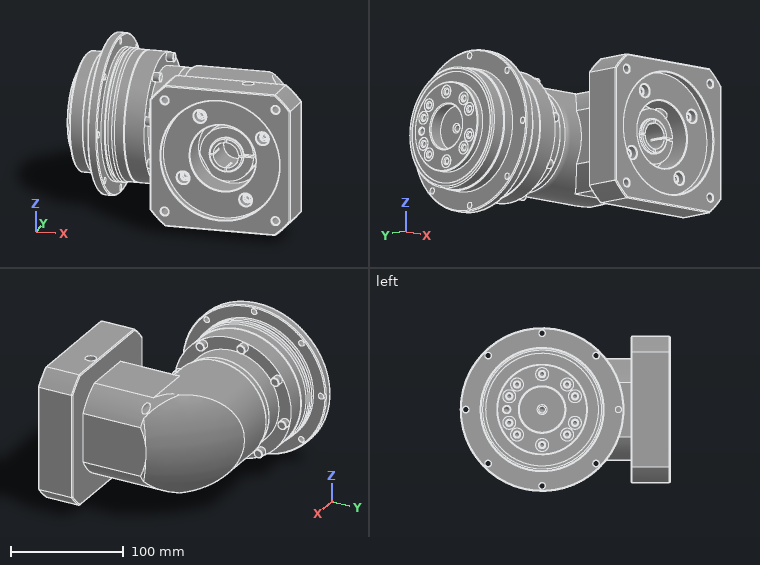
import cadquery as cq
import math


overall_length = 229.0
overall_depth = 186.0
flange_diameter = 145.0
plate_width = 130.0

output_face = plate_width / 2 - overall_length
ring_face = output_face + 6.0
ring_step = output_face + 18.5
flange_front = output_face + 28.9
flange_back = output_face + 37.5
groove_start = output_face + 40.8
groove_end = output_face + 44.0
second_land_end = output_face + 47.5
land_taper_end = output_face + 49.7
housing_seam = output_face + 58.6
housing_back = output_face + 77.2
neck_step = output_face + 95.3
neck_end = output_face + 101.5
elbow_full = output_face + 106.0

output_radius = 40.0
ring_front_radius = 54.0
ring_radius = 55.0
flange_radius = flange_diameter / 2
land_radius = 60.0
groove_radius = 57.3
housing_radius = 59.0
neck_radius = 46.7
neck_end_radius = 46.5
elbow_diameter = 97.8
elbow_radius = elbow_diameter / 2
ring_chamfer = 1.4
flange_chamfer = 1.0
output_chamfer = 0.7
seal_radius = 50.0
seal_depth = 0.5
seam_groove = 0.5
step_chamfer = 0.7

pilot_radius = 20.2
pilot_depth = 12.5
pilot_chamfer = 1.0
centre_hole_radius = 3.0
centre_hole_chamfer = 1.4
centre_hole_depth = 9.2
output_hole_circle = 31.5
output_hole_angles = (0, 45, 68, 112, 135, 180, 225, 248, 292, 315)
tap_radius = 2.3
tap_depth = 10.3
tap_chamfer = 1.0
spotface_radius = 5.7
spotface_depth = 0.2
pin_hole_radius = 3.0
pin_hole_depth = 9.2
pin_hole_chamfer = 0.7

flange_hole_count = 8
flange_hole_circle = 67.5
flange_hole_radius = 2.7
head_count = 8
head_circle = 54.5
head_radius = 4.1
head_height = 6.6
head_first_angle = 12.5
head_chamfer = 0.5

block_width = 90.0
block_turned_radius = 51.0
plate_back = -78.8
nose_crown = 28.5
nose_edge = 21.0
nose_half_chord = 45.1
nose_middle = -2.3
nose_cross_radius = 82.5
nose_reach = 103.0
vent_y = -21.3
vent_z = 38.0
vent_radius = 3.7
vent_floor = 20.6

plate_turned_radius = 82.5
plate_front = flange_radius - overall_depth
plate_chamfer = 1.0
motor_pilot_radius = 55.0
motor_pilot_floor = plate_front + 8.2
motor_hole_offset = 51.3
motor_hole_radius = 3.5
motor_hole_floor = plate_front + 20.6
input_bore_radius = 30.5
mouth_chamfer = 0.7
access_x = 17.6
access_y = -86.0
access_radius = 5.0

screw_count = 4
screw_circle = 42.4
screw_first_angle = 30
counterbore_radius = 5.7
counterbore_floor = -94.0
shank_radius = 2.5
shank_depth = 9.2
screw_end = plate_back + shank_depth
screw_head_radius = 4.1
screw_head_height = 6.6
screw_head_chamfer = 0.7
socket_radius = 2.3
socket_depth = 3.2

shaft_front = -95.8
shaft_back = -59.5
shaft_radius = 15.8
shaft_bore_radius = 11.7
shaft_bore_end = -64.1
shaft_chamfer = 1.1
shaft_slit_width = 1.4
shaft_slit_count = 4
collar_front = -92.8
collar_back = plate_back
collar_radius = 24.7
collar_slit_width = 2.3
collar_flat_distance = 22.5
collar_flat_angle = 210
clamp_hole_x = 18.8
clamp_hole_radius = 3.2


def rod_x(start, end, radius, y=0, z=0):
    """Cylinder along X."""
    return cq.Workplane("YZ", origin=(start, y, z)).circle(radius).extrude(end - start)


def rod_y(start, end, radius, x=0, z=0):
    """Cylinder along Y, from start up to end."""
    return cq.Workplane("XZ", origin=(x, end, z)).circle(radius).extrude(end - start)


def box_y(start, end, width):
    """Square bar along Y, centred on the input axis."""
    return cq.Workplane("XZ", origin=(0, end, 0)).rect(width, width).extrude(end - start)


def bore_y(face, floor, radius, x=0, z=0):
    """Bore along +Y with a chamfered mouth at its face."""
    profile = [
        (0, face),
        (radius + mouth_chamfer, face),
        (radius, face + mouth_chamfer),
        (radius, floor),
        (0, floor),
    ]
    bore = cq.Workplane("XY").polyline(profile).close().revolve(360, (0, 0, 0), (0, 1, 0))
    return bore.translate((x, 0, z))


def drilled_hole_x(face, depth, radius, chamfer, y=0, z=0):
    """Blind hole along X with a chamfered mouth and a 45 degree drill point."""
    profile = [
        (0, 0),
        (0, radius + chamfer),
        (chamfer, radius),
        (depth, radius),
        (depth + radius, 0),
    ]
    hole = cq.Workplane("XY").polyline(profile).close().revolve(360, (0, 0, 0), (1, 0, 0))
    return hole.translate((face, y, z))


def on_circle(radius, degrees):
    angle = math.radians(degrees)
    return radius * math.cos(angle), radius * math.sin(angle)


def turned_housing():
    """Output disc, flange, grooved housing and neck, all turned about the output axis."""
    outline = [
        (output_face, 0),
        (output_face, output_radius - output_chamfer),
        (output_face + output_chamfer, output_radius),
        (ring_face + seal_depth, output_radius),
        (ring_face + seal_depth, seal_radius),
        (ring_face, seal_radius),
        (ring_face, ring_front_radius - ring_chamfer),
        (ring_face + ring_chamfer, ring_front_radius),
        (ring_step, ring_front_radius),
        (ring_step, ring_radius - step_chamfer),
        (ring_step + step_chamfer, ring_radius),
        (flange_front, ring_radius),
        (flange_front, flange_radius - flange_chamfer),
        (flange_front + flange_chamfer, flange_radius),
        (flange_back - flange_chamfer, flange_radius),
        (flange_back, flange_radius - flange_chamfer),
        (flange_back, land_radius),
        (groove_start, land_radius),
        (groove_start, groove_radius),
        (groove_end, groove_radius),
        (groove_end, land_radius),
        (second_land_end, land_radius),
        (land_taper_end, housing_radius),
        (housing_seam - seam_groove, housing_radius),
        (housing_seam, housing_radius - seam_groove),
        (housing_seam + seam_groove, housing_radius),
        (housing_back, housing_radius),
        (housing_back, neck_radius),
        (neck_step, neck_radius),
        (neck_step, neck_end_radius),
        (neck_end, neck_end_radius),
    ]
    lip_length = elbow_full - neck_end
    lip_rise = elbow_radius - neck_end_radius
    lip_arc_radius = (lip_length**2 + lip_rise**2) / (2 * lip_rise)
    half_sweep = math.asin(lip_length / lip_arc_radius) / 2
    lip_middle = (
        elbow_full - lip_arc_radius * math.sin(half_sweep),
        elbow_radius - lip_arc_radius * (1 - math.cos(half_sweep)),
    )
    half_section = (
        cq.Workplane("XY")
        .polyline(outline)
        .threePointArc(lip_middle, (elbow_full, elbow_radius))
        .lineTo(elbow_full, 0)
        .close()
    )
    return half_section.revolve(360, (0, 0, 0), (1, 0, 0))


def nose_cutter():
    """Material outside the barrel-shaped outer bend, whose axis runs square to the diagonal."""
    diagonal = cq.Plane(origin=(0, 0, 0), xDir=(1, -1, 0), normal=(0, 0, 1))
    axis_height = nose_crown - nose_cross_radius
    barrel = (
        cq.Workplane(diagonal)
        .moveTo(-nose_reach, axis_height)
        .lineTo(-nose_reach, nose_edge)
        .lineTo(nose_middle - nose_half_chord, nose_edge)
        .threePointArc((nose_middle, nose_crown), (nose_middle + nose_half_chord, nose_edge))
        .lineTo(nose_reach, nose_edge)
        .lineTo(nose_reach, axis_height)
        .close()
        .revolve(360, (0, axis_height, 0), (1, axis_height, 0))
    )
    outside = cq.Workplane(diagonal).rect(2 * nose_reach, 2 * nose_reach).extrude(nose_reach, both=True)
    outside = outside.translate((nose_reach / math.sqrt(2), nose_reach / math.sqrt(2), 0))
    return outside.cut(barrel)


def elbow():
    """Output-side cylinder meeting the turned square input block under a rounded outer bend."""
    half_width = block_width / 2
    turned = rod_y(plate_back, elbow_radius, block_turned_radius)
    straight = rod_x(elbow_full, 0, elbow_radius)
    bend = rod_x(0, half_width, elbow_radius).intersect(turned)
    block = box_y(plate_back, 0, block_width).intersect(turned)
    vent = rod_x(vent_floor, half_width, vent_radius, vent_y, vent_z)
    return straight.union(bend).union(block).cut(nose_cutter()).cut(vent)


def housing_screw_heads():
    heads = cq.Workplane("XY")
    for index in range(head_count):
        y, z = on_circle(head_circle, 180 - head_first_angle - index * 360 / head_count)
        head = rod_x(housing_back, housing_back + head_height, head_radius, y, z)
        heads = heads.add(head.faces(">X").chamfer(head_chamfer))
    return heads.combine()


def cut_output_holes(body):
    """Pilot bore with a centre hole, ringed by spotfaced tapped holes and one pin hole."""
    pilot_floor = output_face + pilot_depth
    body = body.cut(rod_x(output_face, pilot_floor, pilot_radius))
    pilot_rim = body.faces("<X").edges(cq.selectors.RadiusNthSelector(0))
    body = pilot_rim.chamfer(pilot_chamfer)
    body = body.cut(drilled_hole_x(pilot_floor, centre_hole_depth, centre_hole_radius, centre_hole_chamfer))
    for degrees in output_hole_angles:
        z, y = on_circle(output_hole_circle, degrees)
        spot_floor = output_face + spotface_depth
        body = body.cut(rod_x(output_face, spot_floor, spotface_radius, y, z))
        body = body.cut(drilled_hole_x(spot_floor, tap_depth, tap_radius, tap_chamfer, y, z))
    pin_hole = drilled_hole_x(output_face, pin_hole_depth, pin_hole_radius, pin_hole_chamfer)
    return body.cut(pin_hole.translate((0, output_hole_circle, 0)))


def cut_flange_holes(body):
    for index in range(flange_hole_count):
        y, z = on_circle(flange_hole_circle, index * 360 / flange_hole_count)
        body = body.cut(rod_x(flange_front, flange_back, flange_hole_radius, y, z))
    return body


def cut_input_side(body):
    """Seat for the hollow shaft and holes for the plate screws."""
    body = body.cut(rod_y(plate_back, shaft_back, shaft_radius))
    for x, z in screw_places():
        body = body.cut(rod_y(plate_back, screw_end, shank_radius, x, z))
    return body


def make_gearbox():
    body = turned_housing().union(elbow()).union(housing_screw_heads())
    return cut_input_side(cut_flange_holes(cut_output_holes(body)))


def make_motor_plate():
    plate = box_y(plate_front, plate_back, plate_width)
    plate = plate.intersect(rod_y(plate_front, plate_back, plate_turned_radius))
    plate = plate.faces("<Y or >Y").chamfer(plate_chamfer)
    plate = plate.cut(bore_y(plate_front, motor_pilot_floor, motor_pilot_radius))
    plate = plate.cut(bore_y(motor_pilot_floor, plate_back, input_bore_radius))
    for x in (-motor_hole_offset, motor_hole_offset):
        for z in (-motor_hole_offset, motor_hole_offset):
            plate = plate.cut(bore_y(plate_front, motor_hole_floor, motor_hole_radius, x, z))
    for x, z in screw_places():
        plate = plate.cut(bore_y(motor_pilot_floor, counterbore_floor, counterbore_radius, x, z))
        plate = plate.cut(rod_y(counterbore_floor, plate_back, shank_radius, x, z))
    access = cq.Workplane("XY", origin=(access_x, access_y, 0)).circle(access_radius)
    return plate.cut(access.extrude(plate_width / 2))


def screw_places():
    step = 360 / screw_count
    return [on_circle(screw_circle, screw_first_angle + index * step) for index in range(screw_count)]


def make_plate_screw(x, z):
    """Cap screw with a round socket that ends in a cone."""
    head_face = counterbore_floor - screw_head_height
    outline = [
        (0, head_face + socket_depth + socket_radius),
        (socket_radius, head_face + socket_depth),
        (socket_radius, head_face),
        (screw_head_radius - screw_head_chamfer, head_face),
        (screw_head_radius, head_face + screw_head_chamfer),
        (screw_head_radius, counterbore_floor),
        (shank_radius, counterbore_floor),
        (shank_radius, screw_end),
        (0, screw_end),
    ]
    screw = cq.Workplane("XY").polyline(outline).close().revolve(360, (0, 0, 0), (0, 1, 0))
    return screw.translate((x, 0, z))


def make_hollow_shaft():
    """Blind tube whose clamped end is split by equally spaced slits."""
    shaft = rod_y(shaft_front, shaft_back, shaft_radius).faces("<Y").chamfer(shaft_chamfer)
    bore = rod_y(shaft_front, shaft_bore_end, shaft_bore_radius)
    slit_length = collar_back - shaft_front
    slit = cq.Workplane("XY").box(shaft_radius, slit_length, shaft_slit_width, centered=(False, False, True))
    slit = slit.translate((0, shaft_front, 0))
    shaft = shaft.cut(bore)
    for index in range(shaft_slit_count):
        shaft = shaft.cut(slit.rotate((0, 0, 0), (0, 1, 0), index * 360 / shaft_slit_count))
    return shaft


def make_clamp_collar():
    """Ring with one slit, a balancing flat and a cross hole for the clamp screw."""
    width = collar_back - collar_front
    collar = rod_y(collar_front, collar_back, collar_radius)
    collar = collar.cut(rod_y(collar_front, collar_back, shaft_radius))
    slit = cq.Workplane("XY").box(collar_radius, width, collar_slit_width, centered=(False, False, True))
    collar = collar.cut(slit.translate((0, collar_front, 0)))
    flat = cq.Workplane("XY").box(collar_radius, width, 2 * collar_radius, centered=(False, False, True))
    flat = flat.translate((collar_flat_distance, collar_front, 0))
    collar = collar.cut(flat.rotate((0, 0, 0), (0, 1, 0), -collar_flat_angle))
    clamp_hole = cq.Workplane("XY", origin=(clamp_hole_x, access_y, 0)).circle(clamp_hole_radius)
    return collar.cut(clamp_hole.extrude(collar_radius, both=True))


gearbox = make_gearbox()
motor_plate = make_motor_plate()
hollow_shaft = make_hollow_shaft()
clamp_collar = make_clamp_collar()
plate_screws = [make_plate_screw(x, z) for x, z in screw_places()]

result = cq.Compound.makeCompound(
    [
        gearbox.val(),
        motor_plate.val(),
        hollow_shaft.val(),
        clamp_collar.val(),
        *[screw.val() for screw in plate_screws],
    ]
)